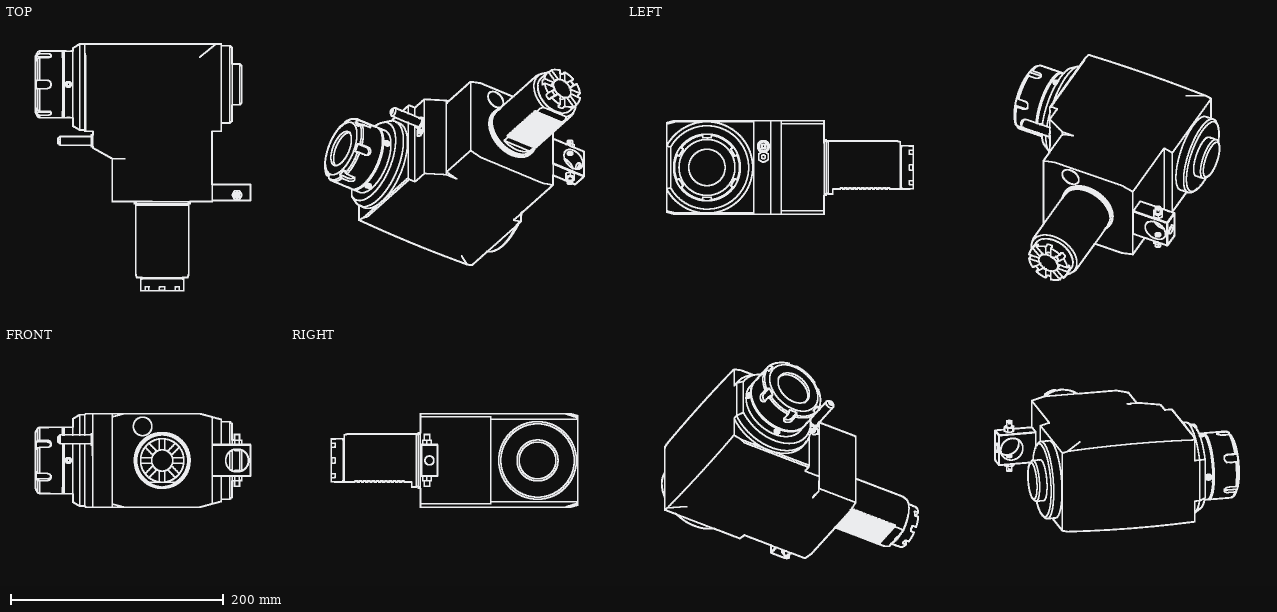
import cadquery as cq
import math


CUT_MARGIN = 1.0
HEXAGON = 6
SOCKET_DEPTH = 2.0

HALF_HEIGHT = 44.0
BACK_Y = 148.0
SPINDLE_Y = 110.0
HEAD_FRONT_Y = 66.0
HEAD_LEFT_X = -73.0
HEAD_RIGHT_X = 55.6
WAIST_LEFT_X = -65.2
WAIST_FRONT_Y = 50.3
FOOT_HALF_WIDTH = 47.0
FOOT_TOP_Y = 40.2
BEVEL_ANGLE = 15.0
BEVEL_START_X = 35.4
FACE_CHAMFER = 1.3
CROWN_RADIUS = 298.0
CROWN_X = (BEVEL_START_X + HEAD_LEFT_X + FACE_CHAMFER) / 2
CROWN_BACKSET = 7.5
PLUG_X = -18.4
PLUG_Z = 32.0
PLUG_RADIUS = 8.7
PLUG_RECESS = 0.3

FLANGE_RADIUS = 43.0
FLANGE_FACE_RADIUS = 39.2
FLANGE_CONE_X = -77.6
FLANGE_FACE_X = -83.9
NUT_RADIUS = 31.4
GROOVE_RADIUS = 25.5
COLLAR_END_X = -92.2
NUT_BACK_X = -93.6
NUT_BLEND_X = -115.2
NUT_CHAMFER_X = -116.9
NUT_CHAMFER_RADIUS = 30.5
NUT_FACE_X = -119.1
NUT_FACE_RADIUS = 26.3
NUT_BORE_RADIUS = 17.1
NUT_BORE_DEPTH = 3.0
NUT_SLOT_COUNT = 6
NUT_SLOT_WIDTH = 7.8
NUT_SLOT_END_X = -104.4
NUT_SLOT_FLOOR_RADIUS = 28.0
COLLAR_SCREW_X = -88.2
COLLAR_SCREW_COUNT = 4
COLLAR_SCREW_RADIUS = 2.7
COLLAR_SCREW_DEPTH = 1.0
COLLAR_SOCKET_ACROSS_CORNERS = 3.2

CAP_RADIUS = 36.5
CAP_END_X = 65.6
CAP_CHAMFER = 2.0
CAP_BOSS_RADIUS = 19.3
CAP_BOSS_END_X = 74.8
CAP_BOSS_CHAMFER = 2.0

SHANK_COLLAR_RADIUS = 26.2
SHANK_COLLAR_LENGTH = 2.0
SHANK_RADIUS = 25.0
SHANK_LEAD_Y = -3.7
SHANK_LEAD_RADIUS = 24.4
SHANK_CHAMFER_Y = -68.4
SHANK_END_Y = -71.6
SHANK_END_RADIUS = 24.0
NECK_RADIUS = 19.0
NECK_LENGTH = 1.0
COUPLING_RADIUS = 20.4
COUPLING_END_Y = -84.0
COUPLING_HUB_RADIUS = 10.0
COUPLING_HUB_RECESS = 0.4
COUPLING_SLOT_COUNT = 8
COUPLING_SLOT_WIDTH = 5.2
COUPLING_SLOT_DEPTH = 4.0
COUPLING_SLOT_FILLET = 0.9
RACK_START_Y = -8.3
RACK_FLAT_Z = -20.3
RACK_PITCH = 4.0
RACK_FIRST_GROOVE_Y = -16.4
RACK_GROOVE_COUNT = 12
RACK_GROOVE_DEPTH = 0.9
RACK_GROOVE_MOUTH = 2.2

PIN_Y = 57.0
PIN_Z = 19.8
PIN_RADIUS = 4.2
PIN_COLLAR_RADIUS = 5.5
PIN_COLLAR_LENGTH = 1.3
PIN_TIP_X = -97.9
PIN_TIP_CHAMFER = 2.0
PIN_SOCKET_ACROSS_CORNERS = 3.4
WAIST_SCREW_Z = 10.0
WAIST_SCREW_ACROSS_CORNERS = 10.6
WAIST_SCREW_HEIGHT = 0.7
WAIST_SOCKET_ACROSS_CORNERS = 4.0
WAIST_SCREW_TURN = 30.0

BRACKET_END_X = 83.0
BRACKET_FRONT_Y = 0.6
BRACKET_BACK_Y = 16.2
BRACKET_HALF_HEIGHT = 15.0
BRACKET_CHAMFER = 0.5
BRACKET_BORE_X = 70.3
BRACKET_BORE_RADIUS = 10.7
BRACKET_END_HOLE_RADIUS = 4.2
STUD_Y = 6.1
STUD_RADIUS = 2.5
STUD_END_Z = 24.4
STUD_INNER_Z = 9.0
STUD_POINT_CHAMFER = 1.2
STUD_NUT_ACROSS_CORNERS = 9.2
STUD_NUT_END_Z = 19.0
STUD_SOCKET_ACROSS_CORNERS = 2.8


def box(x_range, y_range, z_range):
    """Axis-aligned block between the given limits."""
    size = [high - low for low, high in (x_range, y_range, z_range)]
    return cq.Workplane("XY").box(*size, centered=False).translate((x_range[0], y_range[0], z_range[0]))


def turned_on_spindle(profile):
    """Revolve (x, radius) points about the spindle axis."""
    points = [(profile[0][0], 0)] + profile + [(profile[-1][0], 0)]
    turned = cq.Workplane("XY").polyline(points).close().revolve(360, (0, 0), (1, 0))
    return turned.translate((0, SPINDLE_Y, 0))


def turned_on_shank(profile):
    """Revolve (radius, y) points about the shank axis."""
    points = [(0, profile[0][1])] + profile + [(0, profile[-1][1])]
    return cq.Workplane("XY").polyline(points).close().revolve(360, (0, 0), (0, 1))


def waist_plane(z):
    """Outward-facing plane on the waist face at the given height."""
    return cq.Plane(origin=(WAIST_LEFT_X, PIN_Y, z), xDir=(0, 1, 0), normal=(-1, 0, 0))


def edge_bevel(side, y_end):
    """Wedges removed above and below along one side (+1 right, -1 left) from Y = 0 to y_end."""
    reach = HEAD_RIGHT_X - BEVEL_START_X + CUT_MARGIN
    drop = reach * math.tan(math.radians(BEVEL_ANGLE))
    upper = (
        cq.Workplane("XZ")
        .moveTo(side * BEVEL_START_X, HALF_HEIGHT)
        .lineTo(side * (BEVEL_START_X + reach), HALF_HEIGHT)
        .lineTo(side * (BEVEL_START_X + reach), HALF_HEIGHT - drop)
        .close()
        .extrude(-y_end)
    )
    return upper.union(upper.mirror("XY"))


def crown_cone():
    """Double cone about Z whose slopes form the crowned bevels along the back face."""
    run = HALF_HEIGHT / math.tan(math.radians(BEVEL_ANGLE))
    profile = [(0, -HALF_HEIGHT), (CROWN_RADIUS, -HALF_HEIGHT), (CROWN_RADIUS + run, 0),
               (CROWN_RADIUS, HALF_HEIGHT), (0, HALF_HEIGHT)]
    cone = cq.Workplane("XZ").polyline(profile).close().revolve(360, (0, 0), (0, 1))
    return cone.translate((CROWN_X, BACK_Y - CROWN_BACKSET - CROWN_RADIUS, 0))


def face_chamfer():
    """Prism removed along the upper and lower edges of the spindle face."""
    upper = (
        cq.Workplane("XZ")
        .moveTo(HEAD_LEFT_X, HALF_HEIGHT)
        .lineTo(HEAD_LEFT_X + FACE_CHAMFER, HALF_HEIGHT)
        .lineTo(HEAD_LEFT_X, HALF_HEIGHT - FACE_CHAMFER)
        .close()
        .extrude(-BACK_Y)
    )
    return upper.union(upper.mirror("XY"))


def make_housing():
    outline = [
        (-FOOT_HALF_WIDTH, 0),
        (FOOT_HALF_WIDTH, 0),
        (FOOT_HALF_WIDTH, HEAD_FRONT_Y),
        (HEAD_RIGHT_X, HEAD_FRONT_Y),
        (HEAD_RIGHT_X, BACK_Y),
        (HEAD_LEFT_X, BACK_Y),
        (HEAD_LEFT_X, HEAD_FRONT_Y),
        (WAIST_LEFT_X, HEAD_FRONT_Y),
        (WAIST_LEFT_X, WAIST_FRONT_Y),
        (-FOOT_HALF_WIDTH, FOOT_TOP_Y),
    ]
    block = cq.Workplane("XY").polyline(outline).close().extrude(HALF_HEIGHT, both=True)
    block = block.cut(edge_bevel(1, BACK_Y)).cut(edge_bevel(-1, FOOT_TOP_Y)).cut(face_chamfer())
    block = block.intersect(crown_cone())
    plug = cq.Workplane("XZ").center(PLUG_X, PLUG_Z).circle(PLUG_RADIUS).extrude(-PLUG_RECESS)
    return block.cut(plug)


def make_flange():
    flange = turned_on_spindle([
        (HEAD_LEFT_X, FLANGE_RADIUS),
        (FLANGE_CONE_X, FLANGE_RADIUS),
        (FLANGE_FACE_X, FLANGE_FACE_RADIUS),
    ])
    slope_drop = FLANGE_RADIUS - FLANGE_FACE_RADIUS
    outer_y = SPINDLE_Y + FLANGE_RADIUS
    beyond_flat = (
        cq.Workplane("XY")
        .moveTo(HEAD_LEFT_X, BACK_Y)
        .lineTo(FLANGE_CONE_X, BACK_Y)
        .lineTo(FLANGE_FACE_X, BACK_Y - slope_drop)
        .lineTo(FLANGE_FACE_X, outer_y)
        .lineTo(HEAD_LEFT_X, outer_y)
        .close()
        .extrude(FLANGE_RADIUS, both=True)
    )
    return flange.cut(beyond_flat)


def nut_slot():
    """Round-ended wrench slot on the +Z side of the nut."""
    half_width = NUT_SLOT_WIDTH / 2
    arc_x = NUT_SLOT_END_X - half_width
    return (
        cq.Workplane("XY", origin=(0, SPINDLE_Y, NUT_SLOT_FLOOR_RADIUS))
        .moveTo(NUT_FACE_X, -half_width)
        .lineTo(arc_x, -half_width)
        .threePointArc((NUT_SLOT_END_X, 0), (arc_x, half_width))
        .lineTo(NUT_FACE_X, half_width)
        .close()
        .extrude(NUT_RADIUS - NUT_SLOT_FLOOR_RADIUS + CUT_MARGIN)
    )


def collar_screw():
    """Sunk screw seat with hexagon socket on the +Z side of the collar."""
    top = cq.Workplane("XY", origin=(COLLAR_SCREW_X, SPINDLE_Y, NUT_RADIUS))
    seat = top.circle(COLLAR_SCREW_RADIUS).extrude(-COLLAR_SCREW_DEPTH)
    socket = top.polygon(HEXAGON, COLLAR_SOCKET_ACROSS_CORNERS).extrude(-COLLAR_SCREW_DEPTH - SOCKET_DEPTH)
    return seat.union(socket)


def cut_around_spindle(solid, cutter, count):
    for index in range(count):
        angle = index * 360 / count
        solid = solid.cut(cutter.rotate((0, SPINDLE_Y, 0), (1, SPINDLE_Y, 0), angle))
    return solid


def make_nut():
    nut = turned_on_spindle([
        (FLANGE_FACE_X, NUT_RADIUS),
        (COLLAR_END_X, NUT_RADIUS),
        (COLLAR_END_X, GROOVE_RADIUS),
        (NUT_BACK_X, GROOVE_RADIUS),
        (NUT_BACK_X, NUT_RADIUS),
        (NUT_BLEND_X, NUT_RADIUS),
        (NUT_CHAMFER_X, NUT_CHAMFER_RADIUS),
        (NUT_FACE_X, NUT_FACE_RADIUS),
    ])
    bore = turned_on_spindle([
        (NUT_FACE_X, NUT_BORE_RADIUS),
        (NUT_FACE_X + NUT_BORE_DEPTH, NUT_BORE_RADIUS),
    ])
    nut = cut_around_spindle(nut.cut(bore), nut_slot(), NUT_SLOT_COUNT)
    return cut_around_spindle(nut, collar_screw(), COLLAR_SCREW_COUNT)


def make_cap():
    return turned_on_spindle([
        (HEAD_RIGHT_X, CAP_RADIUS),
        (CAP_END_X - CAP_CHAMFER, CAP_RADIUS),
        (CAP_END_X, CAP_RADIUS - CAP_CHAMFER),
        (CAP_END_X, CAP_BOSS_RADIUS),
        (CAP_BOSS_END_X - CAP_BOSS_CHAMFER, CAP_BOSS_RADIUS),
        (CAP_BOSS_END_X, CAP_BOSS_RADIUS - CAP_BOSS_CHAMFER),
    ])


def cut_rack(shank):
    """Toothed flat along the underside of the shank."""
    across = (-SHANK_RADIUS, SHANK_RADIUS)
    shank = shank.cut(box(across, (SHANK_END_Y, RACK_START_Y), (-SHANK_RADIUS - CUT_MARGIN, RACK_FLAT_Z)))
    half_mouth = RACK_GROOVE_MOUTH / 2
    for index in range(RACK_GROOVE_COUNT):
        middle = RACK_FIRST_GROOVE_Y - index * RACK_PITCH
        across_y = (middle - half_mouth, middle + half_mouth)
        shank = shank.cut(box(across, across_y, (RACK_FLAT_Z, RACK_FLAT_Z + RACK_GROOVE_DEPTH)))
    return shank


def make_coupling():
    """Face coupling with radial slots around a solid hub."""
    slot_floor_y = COUPLING_END_Y + COUPLING_SLOT_DEPTH
    coupling = turned_on_shank([
        (NECK_RADIUS, SHANK_END_Y),
        (NECK_RADIUS, SHANK_END_Y - NECK_LENGTH),
        (COUPLING_RADIUS, SHANK_END_Y - NECK_LENGTH),
        (COUPLING_RADIUS, COUPLING_END_Y),
    ])
    half_width = COUPLING_SLOT_WIDTH / 2
    slot = box((0, COUPLING_RADIUS + CUT_MARGIN), (COUPLING_END_Y, slot_floor_y), (-half_width, half_width))
    slot = slot.faces(">Y").edges("|X").fillet(COUPLING_SLOT_FILLET)
    hub = turned_on_shank([(COUPLING_HUB_RADIUS, slot_floor_y), (COUPLING_HUB_RADIUS, COUPLING_END_Y)])
    slot = slot.cut(hub)
    for index in range(COUPLING_SLOT_COUNT):
        angle = index * 360 / COUPLING_SLOT_COUNT
        coupling = coupling.cut(slot.rotate((0, 0, 0), (0, 1, 0), angle))
    hub_face_y = COUPLING_END_Y + COUPLING_HUB_RECESS
    hub_recess = turned_on_shank([(COUPLING_HUB_RADIUS, hub_face_y), (COUPLING_HUB_RADIUS, COUPLING_END_Y)])
    return coupling.cut(hub_recess)


def make_shank():
    collar = turned_on_shank([(SHANK_COLLAR_RADIUS, 0), (SHANK_COLLAR_RADIUS, -SHANK_COLLAR_LENGTH)])
    shank = turned_on_shank([
        (SHANK_LEAD_RADIUS, -SHANK_COLLAR_LENGTH),
        (SHANK_RADIUS, SHANK_LEAD_Y),
        (SHANK_RADIUS, SHANK_CHAMFER_Y),
        (SHANK_END_RADIUS, SHANK_END_Y),
    ])
    return cut_rack(shank).union(collar).union(make_coupling())


def make_pin():
    length = WAIST_LEFT_X - PIN_TIP_X
    plane = waist_plane(PIN_Z)
    pin = cq.Workplane(plane).circle(PIN_RADIUS).extrude(length).faces("<X").chamfer(PIN_TIP_CHAMFER)
    collar = cq.Workplane(plane).circle(PIN_COLLAR_RADIUS).extrude(PIN_COLLAR_LENGTH)
    socket = (
        cq.Workplane(plane)
        .workplane(offset=length)
        .polygon(HEXAGON, PIN_SOCKET_ACROSS_CORNERS)
        .extrude(-SOCKET_DEPTH)
    )
    return pin.union(collar).cut(socket)


def make_waist_screw():
    return (
        cq.Workplane(waist_plane(WAIST_SCREW_Z))
        .transformed(rotate=(0, 0, WAIST_SCREW_TURN))
        .polygon(HEXAGON, WAIST_SCREW_ACROSS_CORNERS)
        .polygon(HEXAGON, WAIST_SOCKET_ACROSS_CORNERS)
        .extrude(WAIST_SCREW_HEIGHT)
    )


def make_stud():
    """Clamping stud with nut and hexagon socket on the upper side of the bracket."""
    def level(z):
        return cq.Workplane("XY", origin=(BRACKET_BORE_X, STUD_Y, z))

    stud = level(STUD_INNER_Z).circle(STUD_RADIUS).extrude(STUD_END_Z - STUD_INNER_Z)
    stud = stud.faces("<Z").chamfer(STUD_POINT_CHAMFER)
    nut_height = STUD_NUT_END_Z - BRACKET_HALF_HEIGHT
    nut = level(BRACKET_HALF_HEIGHT).polygon(HEXAGON, STUD_NUT_ACROSS_CORNERS).extrude(nut_height)
    socket = level(STUD_END_Z).polygon(HEXAGON, STUD_SOCKET_ACROSS_CORNERS).extrude(-SOCKET_DEPTH)
    return stud.union(nut).cut(socket)


def make_bracket():
    z_range = (-BRACKET_HALF_HEIGHT, BRACKET_HALF_HEIGHT)
    block = box((FOOT_HALF_WIDTH, BRACKET_END_X), (BRACKET_FRONT_Y, BRACKET_BACK_Y), z_range)
    block = block.edges("|X or >X").chamfer(BRACKET_CHAMFER)
    bore = (
        cq.Workplane("XZ")
        .center(BRACKET_BORE_X, 0)
        .circle(BRACKET_BORE_RADIUS)
        .extrude(-BRACKET_BACK_Y)
    )
    middle_y = (BRACKET_FRONT_Y + BRACKET_BACK_Y) / 2
    end_hole = (
        cq.Workplane("YZ", origin=(BRACKET_BORE_X, middle_y, 0))
        .circle(BRACKET_END_HOLE_RADIUS)
        .extrude(BRACKET_END_X - BRACKET_BORE_X)
    )
    stud = make_stud()
    return block.cut(bore).cut(end_hole).union(stud).union(stud.mirror("XY"))


result = make_housing()
for component in (make_flange(), make_nut(), make_cap(), make_shank(),
                  make_pin(), make_waist_screw(), make_bracket()):
    result = result.union(component)